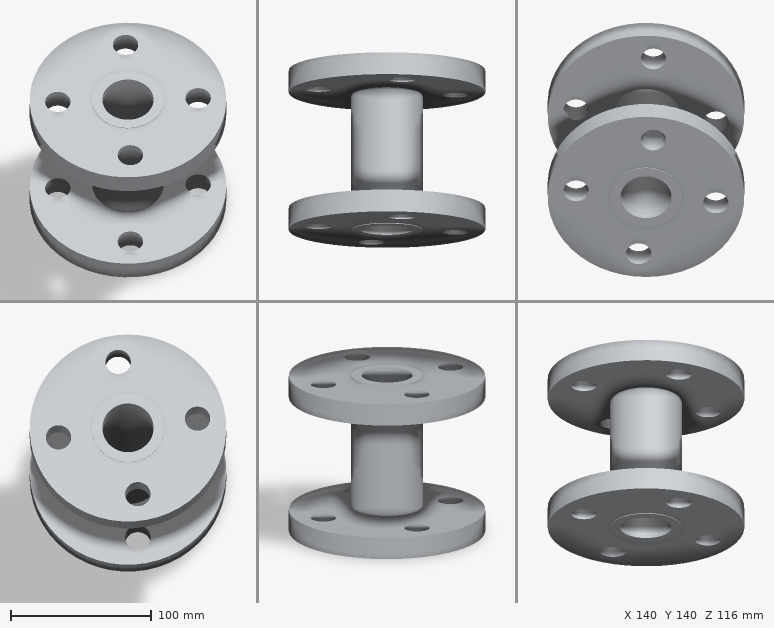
import cadquery as cq

flange_diameter = 140.0
flange_thickness = 15.8
raised_face_diameter = 51.2
raised_face_height = 0.4

bolt_circle_diameter = 100.0
bolt_hole_diameter = 18.0
bolt_hole_count = 4
first_bolt_hole_angle = 45

overall_height = 116.0
body_diameter = 51.2
body_edge_radius = 3.0
neck_diameter = 39.5
neck_height = 0.8
bore_diameter = 36.4

flange_outer_z = overall_height / 2 - raised_face_height
flange_inner_z = flange_outer_z - flange_thickness
body_height = 2 * (flange_inner_z - neck_height)


def disc(diameter, bottom_z, height):
    """Solid cylinder on the Z axis, starting at bottom_z."""
    return cq.Workplane("XY").workplane(offset=bottom_z).circle(diameter / 2).extrude(height)


def upper_flange():
    """Upper flange with its raised sealing face and bolt holes."""
    plate = disc(flange_diameter, flange_inner_z, flange_thickness)
    raised_face = disc(raised_face_diameter, flange_outer_z, raised_face_height)
    bolt_holes = (
        cq.Workplane("XY")
        .workplane(offset=flange_inner_z)
        .polarArray(bolt_circle_diameter / 2, first_bolt_hole_angle, 360, bolt_hole_count)
        .circle(bolt_hole_diameter / 2)
        .extrude(flange_thickness)
    )
    return plate.union(raised_face).cut(bolt_holes)


def central_tube():
    """Round-edged body joined to the flanges by a narrower neck at each end."""
    body = disc(body_diameter, -body_height / 2, body_height).edges().fillet(body_edge_radius)
    neck = disc(neck_diameter, -flange_inner_z, 2 * flange_inner_z)
    return body.union(neck)


flange = upper_flange()
bore = disc(bore_diameter, -overall_height / 2, overall_height)

result = central_tube().union(flange).union(flange.mirror("XY")).cut(bore)